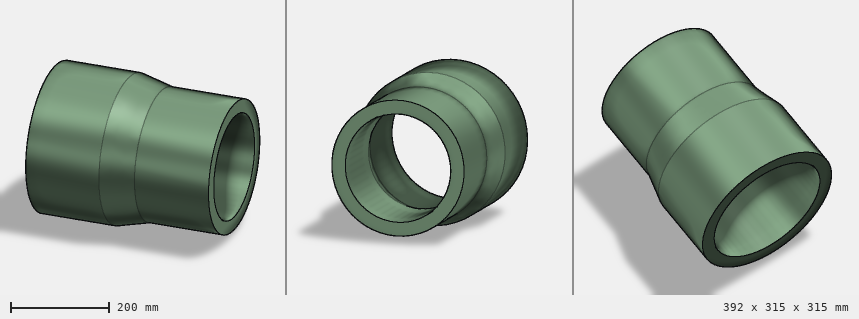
import cadquery as cq
import math

total_length = 392.0
large_length = 160.0
small_length = 161.5
large_outer_diameter = 315.0
small_outer_diameter = 280.0
wall_thickness = 28.5

large_bore_diameter = large_outer_diameter - 2 * wall_thickness
small_bore_diameter = small_outer_diameter - 2 * wall_thickness

outer_taper_start = large_length
outer_taper_end = total_length - small_length

taper_length = outer_taper_end - outer_taper_start
radius_drop = (large_outer_diameter - small_outer_diameter) / 2
taper_angle = math.atan2(radius_drop, taper_length)
bore_taper_shift = wall_thickness * math.tan(taper_angle / 2)
bore_taper_start = outer_taper_start - bore_taper_shift
bore_taper_end = outer_taper_end - bore_taper_shift


def stepped_solid(large_diameter, small_diameter, taper_start, taper_end):
    """Two coaxial cylinders joined by a cone, revolved about the X axis."""
    large_radius = large_diameter / 2
    small_radius = small_diameter / 2
    half_profile = [
        (0, 0),
        (0, large_radius),
        (taper_start, large_radius),
        (taper_end, small_radius),
        (total_length, small_radius),
        (total_length, 0),
    ]
    return cq.Workplane("XY").polyline(half_profile).close().revolve(360, (0, 0, 0), (1, 0, 0))


body = stepped_solid(large_outer_diameter, small_outer_diameter, outer_taper_start, outer_taper_end)
bore = stepped_solid(large_bore_diameter, small_bore_diameter, bore_taper_start, bore_taper_end)

result = body.cut(bore)